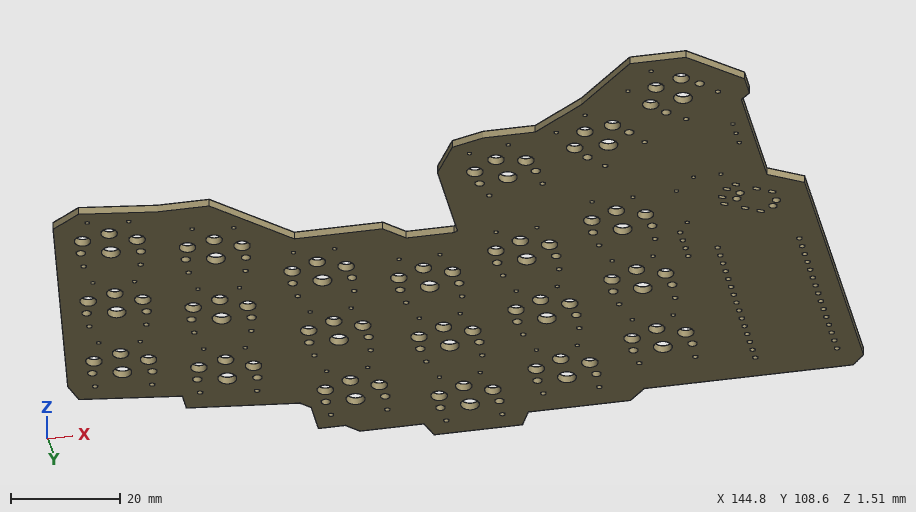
import cadquery as cq
import math


board_length = 144.78
board_width = 108.58
board_thickness = 1.51

left = -board_length / 2
right = board_length / 2
bottom = -board_width / 2
top = board_width / 2

shoulder_y = 50.53
controller_top_y = 47.34
neck_x = 66.12
foot_x = 67.97
thumb_left_x = 7.1
thumb_bottom_y = -36.38
middle_bottom_y = -7.97
inner_bottom_y = -11.66
outer_bottom_y = -24.91
step_outer_x = -52.4
step_inner_x = -29.98

outline = [
    (-71.15, 30.76),
    (step_outer_x, 33.37),
    (step_outer_x, 37.2),
    (-31.72, 39.7),
    (step_inner_x, 41.42),
    (step_inner_x, 48.24),
    (-24.94, 48.24),
    (-22.65, shoulder_y),
    (-10.76, shoulder_y),
    (-9.57, top),
    (6.9, top),
    (8.72, shoulder_y),
    (27.75, shoulder_y),
    (30.95, controller_top_y),
    (69.9, controller_top_y),
    (right, 44.55),
    (right, -11.15),
    (neck_x, -14.98),
    (neck_x, -39.13),
    (foot_x, -40.96),
    (foot_x, -45.55),
    (58.75, bottom),
    (48.29, bottom),
    (37.1, -43.25),
    (27.14, thumb_bottom_y),
    (17.45, thumb_bottom_y),
    (11.32, -34.57),
    (thumb_left_x, -27.13),
    (thumb_left_x, -8.41),
    (6.38, middle_bottom_y),
    (-2.52, middle_bottom_y),
    (-6.18, inner_bottom_y),
    (-22.65, inner_bottom_y),
    (-35.93, outer_bottom_y),
    (-45.6, outer_bottom_y),
    (-59.85, -26.95),
    (-65.38, -23.15),
    (left, 26.3),
]

key_pitch = 19.05
rows = 3

columns = [
    (-61.69, 23.79, 8),
    (-43.23, 29.42, 8),
    (-21.49, 40.37, 2),
    (-1.28, 46.07, 0),
    (17.79, 41.06, 0),
    (36.86, 35.03, 0),
]

thumb_keys = [
    (19.43, -23.26, -10),
    (39.48, -29.8, -35),
    (55.74, -41.73, -45),
]

post_diameter = 3.43
peg_diameter = 1.7
peg_offset = 5.5
contact_diameter = 3.0
contact_drop = 5.95
side_contact_offset = 5.0
side_contact_drop = 3.75
latch_diameter = 0.99
latch_offset = 5.22
latch_rise = 4.2
diode_diameter = 0.8
diode_spacing = 7.62
diode_drop = 9.55

pin_diameter = 1.0
pin_pitch = 2.54
controller_pins = 15
controller_left_x = 52.79
controller_row_gap = 15.24
controller_first_y = 41.61

display_pins = 4
display_x = 46.99
display_first_y = 7.63

reset_x = 48.86
reset_first_y = -2.86
reset_pitch = 4 * pin_pitch
reset_pin_diameter = 0.8

link_pin_diameter = 0.76
link_first_x = 52.78
link_pitch = 2 * pin_pitch
link_y = -16.69

light_pin_diameter = 0.8
light_pins = 3
light_x = 63.11
light_first_y = -25.87
light_pitch = 3.0

jack_x = 65.76
jack_y = -5.83
jack_turn = 30
jack_shift = 0.95
jack_peg_diameter = 1.5
jack_peg_spacing = 7.0
jack_slot_width = 0.8
jack_slot_length = 1.4
jack_slot_side = 2.3
jack_slot_distances = [1.6, 4.6, 8.6]
jack_last_slot_distance = 9.7


def turned(point, place, turn):
    """Turn a local point by `turn` degrees and move it to a place on the board."""
    angle = math.radians(turn)
    x, y = point
    return (
        place[0] + x * math.cos(angle) - y * math.sin(angle),
        place[1] + x * math.sin(angle) + y * math.cos(angle),
    )


def row_of_points(start, step, count):
    """Evenly spaced points."""
    return [(start[0] + i * step[0], start[1] + i * step[1]) for i in range(count)]


def switch_centres():
    """Place and turn of every switch."""
    switches = []
    for x, y, turn in columns:
        for row in range(rows):
            switches.append((turned((0, -row * key_pitch), (x, y), turn), turn))
    for x, y, turn in thumb_keys:
        switches.append(((x, y), turn))
    return switches


def mirrored_pair(offset, y):
    """Two points on both sides of the local Y axis."""
    return [(-offset, y), (offset, y)]


def drill(board, points, diameter):
    """Drill holes through the board."""
    cutters = (
        cq.Workplane("XY").pushPoints(points).circle(diameter / 2).extrude(board_thickness)
    )
    return board.cut(cutters)


def drill_switches(board):
    """Post, pegs, contacts, latches and diode of every switch."""
    pattern = [
        (post_diameter, [(0, 0)]),
        (peg_diameter, mirrored_pair(peg_offset, 0)),
        (contact_diameter, [(0, -contact_drop)]),
        (contact_diameter, mirrored_pair(side_contact_offset, -side_contact_drop)),
        (latch_diameter, mirrored_pair(latch_offset, latch_rise)),
        (diode_diameter, mirrored_pair(diode_spacing / 2, -diode_drop)),
    ]
    for diameter, local_points in pattern:
        points = []
        for place, turn in switch_centres():
            points += [turned(point, place, turn) for point in local_points]
        board = drill(board, points, diameter)
    return board


def drill_headers(board):
    """Straight rows of pins: controller, display, reset button, link and lights."""
    for x in (controller_left_x, controller_left_x + controller_row_gap):
        pins = row_of_points((x, controller_first_y), (0, -pin_pitch), controller_pins)
        board = drill(board, pins, pin_diameter)
    display = row_of_points((display_x, display_first_y), (0, -pin_pitch), display_pins)
    board = drill(board, display, pin_diameter)
    reset = row_of_points((reset_x, reset_first_y), (0, -reset_pitch), 2)
    board = drill(board, reset, reset_pin_diameter)
    link = row_of_points((link_first_x, link_y), (link_pitch, 0), 2)
    board = drill(board, link, link_pin_diameter)
    lights = row_of_points((light_x, light_first_y), (0, -light_pitch), light_pins)
    return drill(board, lights, light_pin_diameter)


def drill_jack(board):
    """Round peg holes and pin slots of the cable jack, for both ways of fitting it."""
    pegs = []
    slots = []
    for side in (-1, 1):
        pegs.append((0, side * jack_shift))
        pegs.append((-jack_peg_spacing, side * jack_shift))
        for distance in jack_slot_distances:
            slots.append((-distance, side * (jack_slot_side + jack_shift)))
        slots.append((-jack_last_slot_distance, side * (jack_slot_side - jack_shift)))
    place = (jack_x, jack_y)
    board = drill(board, [turned(peg, place, jack_turn) for peg in pegs], jack_peg_diameter)
    cutters = (
        cq.Workplane("XY")
        .pushPoints([turned(slot, place, jack_turn) for slot in slots])
        .slot2D(jack_slot_length, jack_slot_width, jack_turn)
        .extrude(board_thickness)
    )
    return board.cut(cutters)


board = cq.Workplane("XY").polyline(outline).close().extrude(board_thickness)
board = drill_switches(board)
board = drill_headers(board)
result = drill_jack(board)